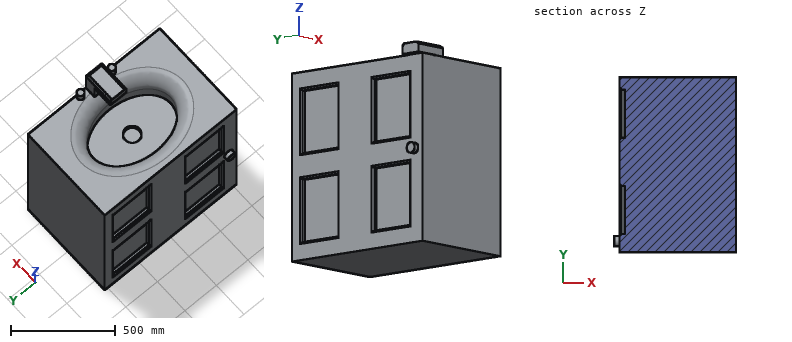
import cadquery as cq

INCH = 25.4

cabinet_depth = 22 * INCH
cabinet_width = 33 * INCH
cabinet_height = 36 * INCH
front_x = -cabinet_depth / 2
back_x = cabinet_depth / 2
side_y = cabinet_width / 2

bowl_length_x = 13.25 * INCH
bowl_length_y = 19.25 * INCH
bowl_depth = 6 * INCH
rim_radius = 3.125 * INCH
drain_diameter = 3.5 * INCH
drain_depth = INCH

panel_width = 9.75 * INCH
panel_height = 12.75 * INCH
panel_bevel = 0.375 * INCH
panel_wall_depth = 0.625 * INCH
panel_margin_z = 3.125 * INCH
panel_margin_left = 2 * INCH
panel_margin_right = 3.125 * INCH

knob_diameter = 2 * INCH
knob_length = INCH
knob_margin = 2.125 * INCH

faucet_width = 4 * INCH
faucet_height = 6 * INCH
faucet_reach = 7 * INCH
post_thickness = 2.5 * INCH
arm_thickness = 2 * INCH
faucet_chamfer = 0.4375 * INCH

handle_diameter = 1.5 * INCH
handle_height = 1.875 * INCH
handle_overhang = 1.55
handle_spacing = 7.8125 * INCH


def make_cabinet():
    return cq.Workplane("XY").box(
        cabinet_depth, cabinet_width, cabinet_height, centered=(True, True, False)
    )


def cut_basin(body):
    bowl = (
        cq.Workplane("XY", origin=(0, 0, cabinet_height))
        .ellipse(bowl_length_x / 2, bowl_length_y / 2)
        .extrude(-bowl_depth)
    )
    body = body.cut(bowl).edges("%ELLIPSE and >Z").fillet(rim_radius)
    drain = (
        cq.Workplane("XY", origin=(0, 0, cabinet_height - bowl_depth))
        .circle(drain_diameter / 2)
        .extrude(-drain_depth)
    )
    return body.cut(drain)


def make_panel_recess(center_y, center_z):
    return (
        cq.Workplane("YZ", origin=(front_x, center_y, center_z))
        .rect(panel_width, panel_height)
        .workplane(offset=panel_bevel)
        .rect(panel_width - 2 * panel_bevel, panel_height - 2 * panel_bevel)
        .loft(ruled=True)
        .faces(">X")
        .wires()
        .toPending()
        .extrude(panel_wall_depth)
    )


def cut_panels(body):
    left_y = side_y - panel_margin_left - panel_width / 2
    right_y = -side_y + panel_margin_right + panel_width / 2
    lower_z = panel_margin_z + panel_height / 2
    upper_z = cabinet_height - lower_z
    for center_y in (left_y, right_y):
        for center_z in (lower_z, upper_z):
            body = body.cut(make_panel_recess(center_y, center_z))
    return body


def make_knob():
    knob_y = -side_y + knob_margin
    return (
        cq.Workplane("YZ", origin=(front_x, knob_y, cabinet_height / 2))
        .circle(knob_diameter / 2)
        .extrude(-knob_length)
    )


def make_faucet():
    top_z = cabinet_height + faucet_height
    post_x = back_x - post_thickness
    tip_x = back_x - faucet_reach
    arm_z = top_z - arm_thickness
    faucet = (
        cq.Workplane("XZ")
        .moveTo(back_x, cabinet_height)
        .lineTo(back_x, top_z)
        .lineTo(tip_x, top_z)
        .lineTo(tip_x, arm_z)
        .lineTo(post_x, arm_z)
        .lineTo(post_x, cabinet_height)
        .close()
        .extrude(faucet_width / 2, both=True)
    )
    return faucet.faces(">Z").edges("|X or >X").chamfer(faucet_chamfer)


def make_handles():
    handle_x = back_x + handle_overhang - handle_diameter / 2
    return (
        cq.Workplane("XY", origin=(handle_x, 0, cabinet_height))
        .pushPoints([(0, -handle_spacing / 2), (0, handle_spacing / 2)])
        .circle(handle_diameter / 2)
        .extrude(handle_height)
    )


cabinet = cut_panels(cut_basin(make_cabinet()))
result = cabinet.union(make_knob()).union(make_faucet()).union(make_handles())